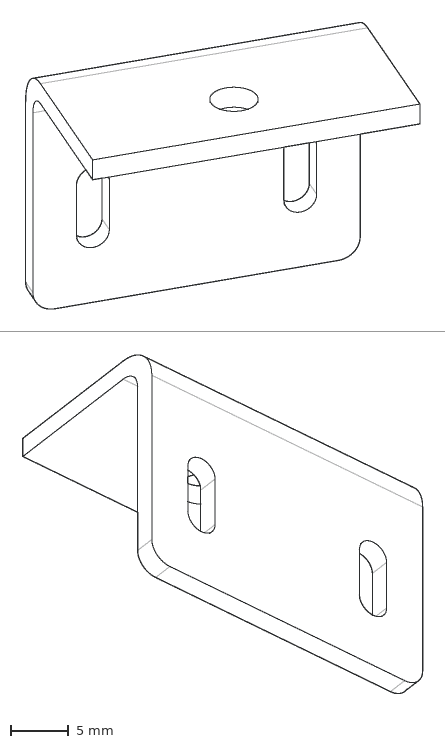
import cadquery as cq

depth = 18.0
width = 30.0
height = 24.0
thickness = 2.0

inner_bend_radius = 2.0
outer_bend_radius = inner_bend_radius + thickness

corner_radius = 2.0

hole_diameter = 4.2
hole_from_upright = 12.0

slot_width = 3.0
slot_length = 8.0
slot_spacing = 19.0
slot_center_height = 9.5


def bent_sheet():
    """L-shaped sheet, centred on Y, with its outer faces at X = 0 and Z = height."""
    profile = (
        cq.Workplane("XZ")
        .lineTo(0, height - outer_bend_radius)
        .radiusArc((outer_bend_radius, height), outer_bend_radius)
        .lineTo(depth, height)
        .lineTo(depth, height - thickness)
        .lineTo(outer_bend_radius, height - thickness)
        .radiusArc((thickness, height - outer_bend_radius), -inner_bend_radius)
        .lineTo(thickness, 0)
        .close()
    )
    return profile.extrude(width / 2, both=True)


def round_lower_corners(body):
    """Round the two lower corners of the upright flange."""
    return body.faces("<Z").edges("|X").fillet(corner_radius)


def flange_hole():
    """Cutter for the round hole through the top flange."""
    return (
        cq.Workplane("XY", origin=(hole_from_upright, 0, height - thickness))
        .circle(hole_diameter / 2)
        .extrude(thickness)
    )


def upright_slots():
    """Cutters for the pair of vertical slots through the upright flange."""
    slot_centers = [(side * slot_spacing / 2, slot_center_height) for side in (-1, 1)]
    return (
        cq.Workplane("YZ")
        .pushPoints(slot_centers)
        .slot2D(slot_length, slot_width, 90)
        .extrude(thickness)
    )


result = round_lower_corners(bent_sheet()).cut(flange_hole()).cut(upright_slots())